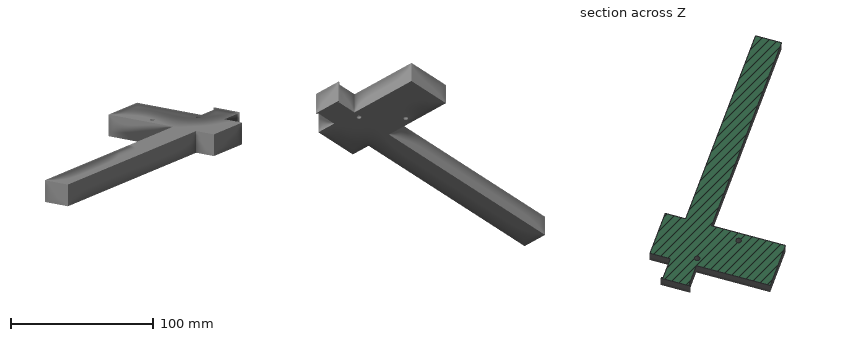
import cadquery as cq

total_length = 214.5
thickness = 15.9

plate_thickness = 1.0
plate_overhang = 1.0

beam_width = 19.5
beam_left = 54.5

block_width = 89.0
block_length = 35.5
block_back_gap = 17.5

hole_diameter = 3.5
hole_spacing = 23.2
back_hole_x = 56.0
back_hole_inset = 6.2

block_back = total_length - block_back_gap
back_hole_y = block_back - back_hole_inset
hole_centers = [
    (back_hole_x, back_hole_y),
    (back_hole_x - hole_spacing, back_hole_y - hole_spacing),
]


def box_from_corner(size_x, size_y, size_z, corner_x, corner_y):
    """Box standing on Z = 0, placed by its lowest X and Y corner."""
    box = cq.Workplane("XY").box(size_x, size_y, size_z, centered=False)
    return box.translate((corner_x, corner_y, 0))


beam = box_from_corner(beam_width, total_length, thickness, beam_left, 0)
block = box_from_corner(block_width, block_length, thickness, 0, block_back - block_length)

plate = box_from_corner(
    beam_width + 2 * plate_overhang,
    plate_thickness,
    thickness + plate_overhang,
    beam_left - plate_overhang,
    total_length - plate_thickness,
)

holes = cq.Workplane("XY").pushPoints(hole_centers).circle(hole_diameter / 2).extrude(thickness)

result = beam.union(block).union(plate).cut(holes)